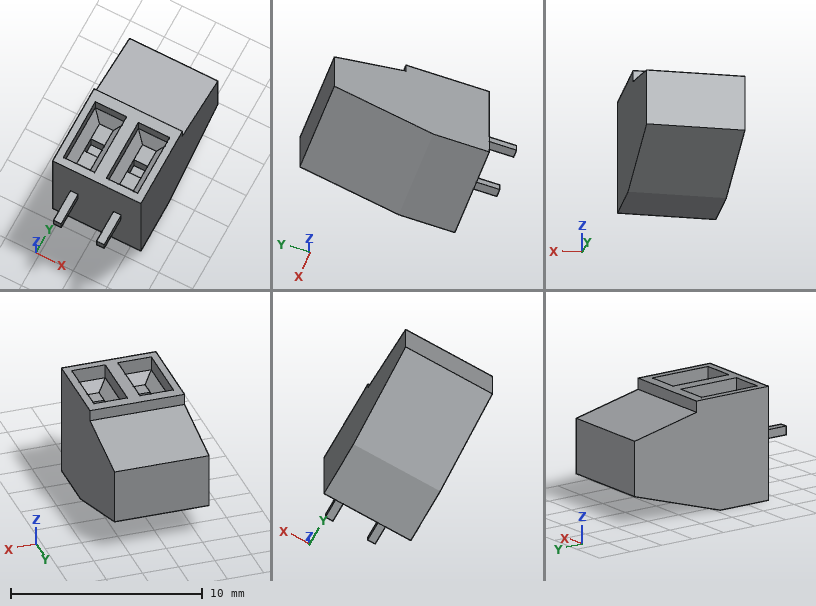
import cadquery as cq


width = 5.22
total_length = 10.54
height = 6.22
pole_pitch = 2.54

pin_width = 0.45
pin_height = 0.48
pin_length = 1.91
pin_center_z = 3.23
pin_shift_x = -0.05

housing_length = total_length - pin_length
step_y = 4.65
step_base_z = 5.61
underside_flat_length = 3.11
back_bottom_z = 1.7
back_top_z = 4.72

funnel_width = 1.84
funnel_length = 3.58
funnel_front_y = 0.44
funnel_shift_x = -0.01
straight_depth = 0.78
taper_inset = 0.52
taper_depth = taper_inset

floor_width = funnel_width - 2 * taper_inset
recess_length = 0.76
recess_front_y = 1.78
recess_depth = 0.76


def pole_positions(shift_x):
    return [shift_x - pole_pitch / 2, shift_x + pole_pitch / 2]


def make_housing():
    profile = [
        (0, 0),
        (underside_flat_length, 0),
        (housing_length, back_bottom_z),
        (housing_length, back_top_z),
        (step_y, step_base_z),
        (step_y, height),
        (0, height),
    ]
    return cq.Workplane("YZ").polyline(profile).close().extrude(width / 2, both=True)


def make_pin(x):
    return (
        cq.Workplane("XZ")
        .center(x, pin_center_z)
        .rect(pin_width, pin_height)
        .extrude(pin_length)
    )


def make_funnel(x):
    """Straight mouth, tapered throat and floor recess to be cut from the housing."""
    center_y = funnel_front_y + funnel_length / 2
    throat_z = height - straight_depth
    floor_z = throat_z - taper_depth

    mouth = (
        cq.Workplane("XY", origin=(x, center_y, height))
        .rect(funnel_width, funnel_length)
        .extrude(-straight_depth)
    )
    throat = (
        cq.Workplane("XY", origin=(x, center_y, throat_z))
        .rect(funnel_width, funnel_length)
        .workplane(offset=-taper_depth)
        .rect(floor_width, funnel_length - 2 * taper_inset)
        .loft(ruled=True)
    )
    recess = (
        cq.Workplane("XY", origin=(x, recess_front_y + recess_length / 2, floor_z))
        .rect(floor_width, recess_length)
        .extrude(-recess_depth)
    )
    return mouth.union(throat).union(recess)


result = make_housing()
for pole_x in pole_positions(pin_shift_x):
    result = result.union(make_pin(pole_x))
for pole_x in pole_positions(funnel_shift_x):
    result = result.cut(make_funnel(pole_x))